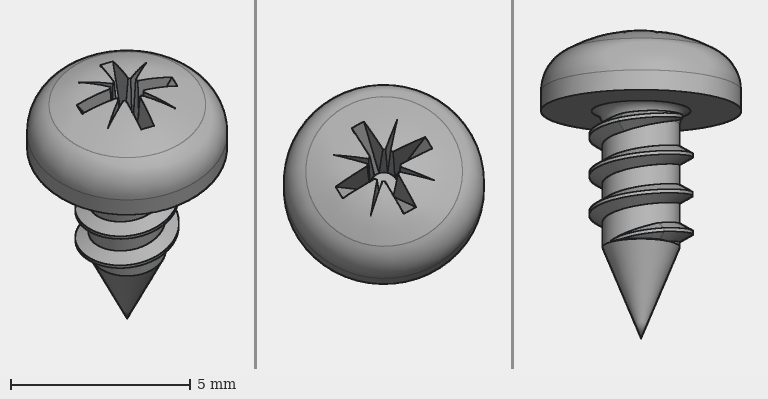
import cadquery as cq
import math

shank_bottom = 2.61
fillet_bottom = 6.1
head_bottom = 6.5
rim_top = 7.07
dome_bottom = 8.12
dome_apex = 8.71

head_radius = 2.799
dome_edge_radius = 2.19
shank_radius = 1.085
fillet_radius = 0.42

pitch = 1.1
thread_radius = 1.45
root_half_height = 0.27
crest_half_height = 0.05
thread_sink = 0.07
thread_start_angle = 180.0
thread_start_height = 2.83
full_thread_angle = 1028.0
lower_runout_angle = 85.0
upper_runout_angle = 150.0
points_per_turn = 36

recess_depth = 1.74
recess_radius = 1.45
core_floor_radius = 0.4
core_top_radius = 0.47
wing_top_width = 0.39
wing_floor_width = 0.15
tick_width = 0.17
tick_overshoot = 0.17
tick_count = 4

dome_rise = dome_apex - dome_bottom
dome_radius = (dome_edge_radius**2 + dome_rise**2) / (2 * dome_rise)


def dome_height(radius):
    return dome_apex - dome_radius + math.sqrt(dome_radius**2 - radius**2)


recess_edge = dome_height(recess_radius)
recess_floor = recess_edge - recess_depth


def make_head_blank():
    half_edge = dome_edge_radius / 2
    return (
        cq.Workplane("XZ")
        .moveTo(0, head_bottom)
        .lineTo(head_radius, head_bottom)
        .lineTo(head_radius, rim_top)
        .tangentArcPoint((dome_edge_radius, dome_bottom), relative=False)
        .threePointArc((half_edge, dome_height(half_edge)), (0, dome_apex))
        .close()
        .revolve(360, (0, 0, 0), (0, 1, 0))
    )


def make_wing_pair():
    """Long slot whose ends and sides all taper towards the recess floor."""
    cut_top = dome_apex + 0.09
    growth = (cut_top - recess_floor) / recess_depth
    floor_length = 2 * core_floor_radius
    cut_length = floor_length + (2 * recess_radius - floor_length) * growth
    cut_width = wing_floor_width + (wing_top_width - wing_floor_width) * growth
    return (
        cq.Workplane("XY", origin=(0, 0, recess_floor))
        .rect(floor_length, wing_floor_width)
        .workplane(offset=cut_top - recess_floor)
        .rect(cut_length, cut_width)
        .loft(ruled=True)
    )


def make_core():
    return (
        cq.Workplane("XY", origin=(0, 0, recess_floor))
        .circle(core_floor_radius)
        .workplane(offset=dome_apex - recess_floor)
        .circle(core_top_radius)
        .loft(ruled=True)
    )


def make_tick():
    """V-groove that narrows outwards to a point on the dome; its valley slopes down to the core."""
    rim = dome_apex + tick_overshoot
    half_width = tick_width / 2
    tip = cq.Vector(recess_radius, 0, recess_edge)
    base = [
        cq.Vector(core_floor_radius, -half_width, rim),
        cq.Vector(core_floor_radius, half_width, rim),
        cq.Vector(core_floor_radius, 0, recess_floor),
    ]
    outlines = [base] + [[base[i - 1], base[i], tip] for i in range(len(base))]
    faces = [cq.Face.makeFromWires(cq.Wire.makePolygon(outline, close=True)) for outline in outlines]
    return cq.Workplane(cq.Solid.makeSolid(cq.Shell.makeShell(faces)))


def make_head():
    wings = make_wing_pair()
    head = make_head_blank().cut(wings)
    head = head.cut(wings.rotate((0, 0, 0), (0, 0, 1), 90))
    head = head.cut(make_core())
    tick = make_tick()
    for index in range(tick_count):
        angle = 360 / tick_count * (index + 0.5)
        head = head.cut(tick.rotate((0, 0, 0), (0, 0, 1), angle))
    return head


def make_shank():
    def fillet_reach(height):
        return shank_radius + fillet_radius - math.sqrt(fillet_radius**2 - height**2)

    fillet_height = head_bottom - fillet_bottom
    half_height = fillet_height / 2
    return (
        cq.Workplane("XZ")
        .lineTo(shank_radius, shank_bottom)
        .lineTo(shank_radius, fillet_bottom)
        .threePointArc(
            (fillet_reach(half_height), fillet_bottom + half_height),
            (fillet_reach(fillet_height), head_bottom),
        )
        .lineTo(0, head_bottom)
        .close()
        .revolve(360, (0, 0, 0), (0, 1, 0))
    )


def thread_profile(size):
    """Corners (radius, height) of the thread section; size runs from 0 (faded) to 1 (full)."""
    root = shank_radius - thread_sink
    depth = thread_radius - shank_radius
    slope = (root_half_height - crest_half_height) / depth
    crest = shank_radius + depth * size - thread_sink / 2 * (1 - size)
    root_half = crest_half_height + slope * (crest - root)
    return [
        (root, -root_half),
        (crest, -crest_half_height),
        (crest, crest_half_height),
        (root, root_half),
    ]


def thread_corners(angle, size):
    """Corners of the thread section in space, at an angle past the start of the full thread."""
    turn = math.radians(thread_start_angle + angle)
    middle = thread_start_height + pitch * angle / 360
    return [
        cq.Vector(radius * math.cos(turn), radius * math.sin(turn), middle + height)
        for radius, height in thread_profile(size)
    ]


def thread_faces(first_angle, last_angle, first_size, last_size):
    """The four helical faces of one stretch of thread."""
    steps = math.ceil((last_angle - first_angle) / 360 * points_per_turn)
    sections = []
    for step in range(steps + 1):
        part = step / steps
        angle = first_angle + (last_angle - first_angle) * part
        size = first_size + (last_size - first_size) * part
        sections.append(thread_corners(angle, size))
    edges = [cq.Edge.makeSpline(list(path)) for path in zip(*sections)]
    return [cq.Face.makeRuledSurface(edges[i - 1], edges[i]) for i in range(len(edges))]


def thread_end(angle):
    outline = cq.Wire.makePolygon(thread_corners(angle, 0), close=True)
    return cq.Face.makeFromWires(outline)


def make_thread(shank):
    first = -lower_runout_angle
    last = full_thread_angle + upper_runout_angle
    faces = thread_faces(first, 0, 0, 1)
    faces += thread_faces(0, full_thread_angle, 1, 1)
    faces += thread_faces(full_thread_angle, last, 1, 0)
    faces += [thread_end(first), thread_end(last)]
    thread = cq.Workplane(cq.Solid.makeSolid(cq.Shell.makeShell(faces)))
    envelope = (
        cq.Workplane("XY", origin=(0, 0, shank_bottom))
        .circle(head_radius)
        .extrude(head_bottom - shank_bottom)
    )
    return thread.intersect(envelope).cut(shank)


head = make_head()
shank = make_shank()
thread = make_thread(shank)

result = cq.Compound.makeCompound([head.val(), shank.val(), *thread.solids().vals()])